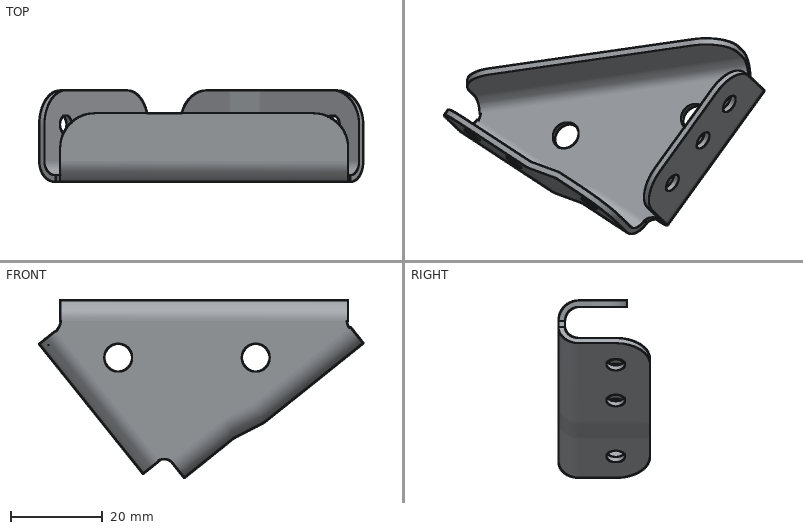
import cadquery as cq
import math

thickness = 1.5
bend_radius = 4.5
side_depth = 20.0
top_depth = 15.0
corner_radius = 7.5
tool_half_length = 2 * bend_radius
top_z = 38.7
overall_width = 70.65

slope = math.radians(38.7)
rise = (math.cos(slope), math.sin(slope))
fall = (math.sin(slope), -math.cos(slope))

top_start = (4.6, top_z)
top_length = 62.75
left_start = (0, 29.2)
left_length = 36.25
right_length = 48.8

jog_start = 13.8
jog_length = 7.3
jog_step = thickness
right_start = (overall_width - right_length * rise[0] - jog_step * fall[0], 0)
jog_angle = math.atan2(jog_step, jog_length)
jog_low_radius = 2.1
jog_high_radius = 4.6

top_left_relief = (3.0, 5.0)
top_right_relief = (2.4, 5.0)
bottom_relief = (1.9, 2.5)

web_hole_diameter = 6.0
web_hole_drop = 12.5
web_hole_x = 17.25
web_hole_pitch = 29.95
web_hole_count = 2
flange_hole_diameter = 4.0
flange_hole_y = side_depth - corner_radius
left_hole_places = (corner_radius, 17.3, left_length - corner_radius)
right_hole_places = (corner_radius, right_length - 20.0, right_length - corner_radius)


def shift(point, along, distance):
    return (point[0] + along[0] * distance, point[1] + along[1] * distance)


def spot(point, y=0):
    return cq.Vector(point[0], y, point[1])


def crossing(p, along_p, q, along_q):
    """Point where two lines in the XZ plane meet."""
    cross = along_p[0] * along_q[1] - along_p[1] * along_q[0]
    distance = ((q[0] - p[0]) * along_q[1] - (q[1] - p[1]) * along_q[0]) / cross
    return shift(p, along_p, distance)


def straight(start, along, length):
    return cq.Wire.assembleEdges([cq.Edge.makeLine(spot(start), spot(shift(start, along, length)))])


def jogged_path():
    """Outer line of the right flange, with an arc at each end of the jog."""
    low = shift(right_start, rise, jog_start)
    high = shift(shift(low, rise, jog_length), fall, jog_step)
    end = shift(shift(right_start, rise, right_length), fall, jog_step)
    jog = (math.cos(slope - jog_angle), math.sin(slope - jog_angle))
    low_setback = jog_low_radius * math.tan(jog_angle / 2)
    high_setback = jog_high_radius * math.tan(jog_angle / 2)
    low_in = shift(low, rise, -low_setback)
    low_out = shift(low, jog, low_setback)
    high_in = shift(high, jog, -high_setback)
    high_out = shift(high, rise, high_setback)
    return cq.Wire.assembleEdges([
        cq.Edge.makeLine(spot(right_start), spot(low_in)),
        cq.Edge.makeTangentArc(spot(low_in), spot(rise), spot(low_out)),
        cq.Edge.makeLine(spot(low_out), spot(high_in)),
        cq.Edge.makeTangentArc(spot(high_in), spot(jog), spot(high_out)),
        cq.Edge.makeLine(spot(high_out), spot(end)),
    ])


def flange(path, start, along, inward, length, depth):
    """Bend and flange swept along the outer line, with rounded free corners."""
    profile_plane = cq.Plane(origin=spot(start).toTuple(), xDir=spot(inward).toTuple(),
                             normal=spot(along).toTuple())
    out = 1 if profile_plane.yDir.y > 0 else -1
    inner_radius = bend_radius - thickness
    diagonal = math.sqrt(0.5)
    outer_mid = bend_radius * (1 - diagonal)
    inner_mid = bend_radius - inner_radius * diagonal
    body = (
        cq.Workplane(profile_plane)
        .moveTo(0, out * depth)
        .lineTo(0, out * bend_radius)
        .threePointArc((outer_mid, out * outer_mid), (bend_radius, 0))
        .lineTo(bend_radius, out * thickness)
        .threePointArc((inner_mid, out * inner_mid), (thickness, out * bend_radius))
        .lineTo(thickness, out * depth)
        .close()
        .sweep(cq.Workplane(path))
    )
    blank_plane = cq.Plane(origin=spot(start).toTuple(), xDir=spot(along).toTuple(),
                           normal=spot(inward).toTuple())
    blank = (
        cq.Workplane(blank_plane)
        .center(length / 2, 0)
        .rect(length, 2 * depth)
        .extrude(tool_half_length, both=True)
        .edges(cq.selectors.ParallelDirSelector(spot(inward)))
        .fillet(corner_radius)
    )
    return body.intersect(blank)


def hole(start, along, inward, distance):
    """Drill passing square through a sloping flange."""
    centre = shift(start, along, distance)
    return cq.Workplane(cq.Solid.makeCylinder(
        flange_hole_diameter / 2, 2 * tool_half_length,
        spot(shift(centre, inward, -tool_half_length), flange_hole_y), spot(inward)))


def relief(corner, along_one, along_other, setback, radius):
    """Round cutter whose edge meets both bend lines at the same distance from their corner."""
    middle = (along_one[0] + along_other[0], along_one[1] + along_other[1])
    size = math.hypot(*middle)
    half_chord = setback * math.sqrt(1 - (size / 2) ** 2)
    reach = setback * size / 2 - math.sqrt(radius ** 2 - half_chord ** 2)
    centre = shift(corner, middle, reach / size)
    return cq.Workplane("XZ").center(*centre).circle(radius).extrude(-thickness)


def web():
    """Flat plate bounded by the bend lines, with the jogged edge and relief notches."""
    level = (1, 0)
    top_line = (0, top_z - bend_radius)
    left_line = shift(left_start, rise, bend_radius)
    right_line = shift(right_start, fall, -bend_radius)
    upper_line = shift(right_line, fall, jog_step)
    top_left = crossing(top_line, level, left_line, fall)
    top_right = crossing(top_line, level, upper_line, rise)
    bottom = crossing(left_line, fall, right_line, rise)
    low_arc = jog_low_radius + bend_radius
    setback = low_arc * math.tan(jog_angle / 2)
    corner_shift = bend_radius * math.tan(jog_angle / 2)
    low = shift(right_line, rise, jog_start + corner_shift)
    high = shift(upper_line, rise, jog_start + jog_length + corner_shift)
    jog = (math.cos(slope - jog_angle), math.sin(slope - jog_angle))
    low_in = shift(low, rise, -setback)
    low_out = shift(low, jog, setback)
    plate = (
        cq.Workplane("XZ")
        .polyline([top_right, top_left, bottom, low_in])
        .tangentArcPoint(low_out, relative=False)
        .lineTo(*high)
        .close()
        .extrude(-thickness)
    )
    climb = (-fall[0], -fall[1])
    descent = (-rise[0], -rise[1])
    plate = plate.cut(relief(top_left, level, fall, *top_left_relief))
    plate = plate.cut(relief(top_right, (-1, 0), descent, *top_right_relief))
    plate = plate.cut(relief(bottom, climb, rise, *bottom_relief))
    hole_z = top_z - web_hole_drop
    web_holes = (
        cq.Workplane("XZ")
        .pushPoints([(web_hole_x + i * web_hole_pitch, hole_z) for i in range(web_hole_count)])
        .circle(web_hole_diameter / 2)
        .extrude(-thickness)
    )
    return plate.cut(web_holes)


into_right = (-fall[0], -fall[1])
top_flange = flange(straight(top_start, (1, 0), top_length), top_start, (1, 0), (0, -1),
                    top_length, top_depth)
left_flange = flange(straight(left_start, fall, left_length), left_start, fall, rise,
                     left_length, side_depth)
right_flange = flange(jogged_path(), right_start, rise, into_right, right_length, side_depth)

for place in left_hole_places:
    left_flange = left_flange.cut(hole(left_start, fall, rise, place))
for place in right_hole_places:
    right_flange = right_flange.cut(hole(right_start, rise, into_right, place))

result = web().union(top_flange).union(left_flange).union(right_flange)